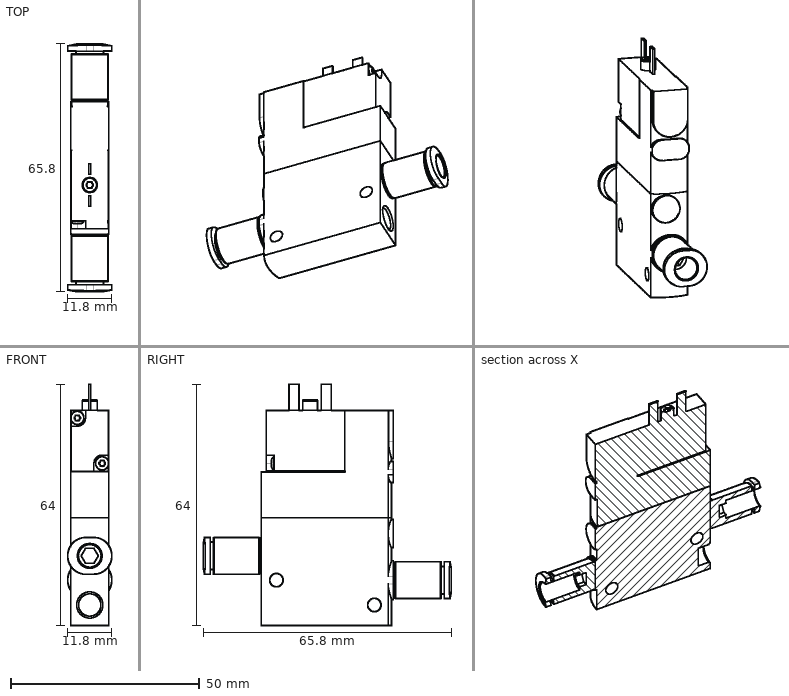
import cadquery as cq
import math

overall_length = 65.8

body_width = 10.2
body_front = -17.6
body_edge_back = 16.1
body_crown_back = 17.1
boss_face = -body_front
pad_depth = boss_face - body_edge_back
base_height = 28.55
body_height = 57.1
ledge_height = 40.8

cover_width = 9.5
cover_round_height = 48.95
override_height = 40.7
override_radius = 2.8
override_spacing = 4.75
plug_height = 24.4
plug_offset = 1.2
plug_diameter = 7.5
fitting_pad_diameter = 10.4

front_fitting_height = 18.5
rear_fitting_height = 12.05
port_height = 5.45
port_diameter = 5.9
port_mouth_diameter = 7.0
port_depth = 3.55
mount_diameter = 3.5
mount_holes = [(-13.5, rear_fitting_height), (12.5, port_height)]

solenoid_inset = 0.2
solenoid_gap = 0.2
solenoid_front = -16.2
solenoid_back = 4.7
solenoid_width = body_width - 2 * solenoid_inset
solenoid_bottom = ledge_height + solenoid_gap

screw_offset_x = 3.3
screw_edge_distance = 2.05
pocket_diameter = 4.35
pocket_depth = 2.2
screw_head_diameter = 3.5
screw_rim_height = 0.2
screw_head_height = 0.8
screw_dome_bulge = 0.1
screw_star_diameter = 1.7
star_core_ratio = 0.75
star_lobe_ratio = 0.3
star_lobes = 6
star_depth = 0.5

post_y = -4.55
post_diameter = 4.0
post_top_diameter = 3.6
post_star_diameter = 2.0
post_height = 2.8
post_chamfer_height = 0.4
blade_offset = 4.3
blade_length = 2.75
blade_thickness = 0.6
blade_height = 6.9

fitting_length = overall_length / 2 - boss_face
base_ring_diameter = 9.6
base_ring_length = 0.4
barrel_start = 0.6
barrel_diameter = 9.8
barrel_end = 12.45
end_ring_end = 12.7
neck_diameter = 7.4
flange_start = 13.4
flange_span = 11.8
flange_crown = 0.5
bore_diameter = 6.0
bore_mouth_diameter = 6.6
bore_depth = 10.5
hex_sides = 6
hex_corner_diameter = 4.55
hex_depth = 2.0


def crowned_block(bottom, top):
    """Full-width block with the crowned rear face, between two heights."""
    half = body_width / 2
    return (
        cq.Workplane("XY", origin=(0, 0, bottom))
        .moveTo(-half, body_front)
        .lineTo(half, body_front)
        .lineTo(half, body_edge_back)
        .threePointArc((0, body_crown_back), (-half, body_edge_back))
        .close()
        .extrude(top - bottom)
    )


def rear_plane(height, offset=0):
    """Sketch plane on the pad face; it extrudes forward into the block."""
    return cq.Workplane("XZ", origin=(offset, boss_face, height))


def add_pads(block, pads):
    """Join pads to the rear of a block, trimmed flush with its sides."""
    side_limit = cq.Workplane("XY").box(
        body_width, 2 * boss_face, body_height, centered=(True, True, False)
    )
    for pad in pads:
        block = block.union(pad.intersect(side_limit))
    return block


def front_port():
    """Blind port with a chamfered mouth, opening through the front face."""
    mouth_depth = (port_mouth_diameter - port_diameter) / 2
    return (
        cq.Workplane("XY", origin=(0, body_front, port_height))
        .lineTo(port_mouth_diameter / 2, 0)
        .lineTo(port_diameter / 2, mouth_depth)
        .lineTo(port_diameter / 2, port_depth)
        .lineTo(0, port_depth)
        .close()
        .revolve(360, (0, 0, 0), (0, 1, 0))
    )


def make_base_block():
    plug = rear_plane(plug_height, plug_offset).circle(plug_diameter / 2).extrude(pad_depth)
    fitting_pad = rear_plane(rear_fitting_height).circle(fitting_pad_diameter / 2).extrude(pad_depth)
    base = add_pads(crowned_block(0, base_height), [plug, fitting_pad])

    mounts = (
        cq.Workplane("YZ")
        .pushPoints(mount_holes)
        .circle(mount_diameter / 2)
        .extrude(body_width, both=True)
    )
    return base.cut(mounts).cut(front_port())


def solenoid_relief():
    """Space in front of and around the solenoid, including the slit below it."""
    length = solenoid_back - body_front
    height = body_height - ledge_height
    around = cq.Workplane("XY", origin=(0, body_front, ledge_height)).box(
        body_width, length, height, centered=(True, False, False)
    )
    solenoid = cq.Workplane("XY", origin=(0, solenoid_front, solenoid_bottom)).box(
        solenoid_width, length, height, centered=(True, False, False)
    )
    return around.cut(solenoid)


def cover_tongue():
    """Raised tongue with a full-round lower end."""
    cover_straight = body_height - cover_round_height
    half = cover_width / 2
    return (
        rear_plane(cover_round_height)
        .moveTo(-half, cover_straight)
        .lineTo(-half, 0)
        .threePointArc((0, -half), (half, 0))
        .lineTo(half, cover_straight)
        .close()
        .extrude(pad_depth)
    )


def override_pad():
    return (
        rear_plane(override_height)
        .slot2D(override_spacing + 2 * override_radius, 2 * override_radius)
        .extrude(pad_depth)
    )


def star_socket(plane, diameter):
    """Six-lobed drive socket, sunk below the given plane; diameter is over the lobes."""
    lobe_diameter = star_lobe_ratio * diameter
    lobe_circle = (diameter - lobe_diameter) / 2
    core = plane.circle(star_core_ratio * diameter / 2).extrude(-star_depth)
    lobes = (
        plane.polarArray(lobe_circle, 0, 360, star_lobes)
        .circle(lobe_diameter / 2)
        .extrude(-star_depth)
    )
    return core.union(lobes)


def corner_pocket(side, height):
    """Screw pocket open towards its corner; side is -1 at the top left, +1 at the bottom right."""
    plane = cq.Workplane("XZ", origin=(side * screw_offset_x, solenoid_front, height))
    radius = pocket_diameter / 2
    outward = side * radius
    to_edge = -side * screw_edge_distance
    diagonal = outward * math.sqrt(0.5)
    return (
        plane.moveTo(-outward, to_edge)
        .lineTo(-outward, 0)
        .threePointArc((-diagonal, diagonal), (0, outward))
        .lineTo(outward, outward)
        .lineTo(outward, to_edge)
        .close()
        .extrude(-pocket_depth)
    )


def corner_screw(side, height):
    """Button-head screw standing on its pocket floor."""
    radius = screw_head_diameter / 2
    top_radius = screw_star_diameter / 2
    dome_radius = (radius + top_radius) / 2
    dome_height = (screw_rim_height + screw_head_height) / 2 + screw_dome_bulge
    head = (
        cq.Workplane("XY", origin=(side * screw_offset_x, solenoid_front + pocket_depth, height))
        .lineTo(radius, 0)
        .lineTo(radius, -screw_rim_height)
        .threePointArc((dome_radius, -dome_height), (top_radius, -screw_head_height))
        .lineTo(0, -screw_head_height)
        .close()
        .revolve(360, (0, 0, 0), (0, 1, 0))
    )
    head_face = solenoid_front + pocket_depth - screw_head_height
    head_plane = cq.Workplane("XZ", origin=(side * screw_offset_x, head_face, height))
    return head.cut(star_socket(head_plane, screw_star_diameter))


def terminal_post():
    radius = post_diameter / 2
    top_radius = post_top_diameter / 2
    post = (
        cq.Workplane("XZ", origin=(0, post_y, body_height))
        .lineTo(radius, 0)
        .lineTo(radius, post_height - post_chamfer_height)
        .lineTo(top_radius, post_height)
        .lineTo(0, post_height)
        .close()
        .revolve(360, (0, 0, 0), (0, 1, 0))
    )
    post_plane = cq.Workplane("XY", origin=(0, post_y, body_height + post_height))
    return post.cut(star_socket(post_plane, post_star_diameter))


def contact_blades():
    return (
        cq.Workplane("XY", origin=(0, post_y, body_height))
        .pushPoints([(0, -blade_offset), (0, blade_offset)])
        .rect(blade_thickness, blade_length)
        .extrude(blade_height)
    )


def make_upper_block():
    upper = crowned_block(base_height, body_height).cut(solenoid_relief())
    upper = add_pads(upper, [cover_tongue(), override_pad()])
    screws = [
        (-1, body_height - screw_edge_distance),
        (1, solenoid_bottom + screw_edge_distance),
    ]
    for side, height in screws:
        upper = upper.cut(corner_pocket(side, height))
        upper = upper.union(corner_screw(side, height))
    return upper.union(terminal_post()).union(contact_blades())


def make_fitting():
    """Fitting along +Y with its seating face at the origin."""
    tip_fall_length = fitting_length - flange_crown
    flange_reach = flange_span / 2
    bore_radius = bore_diameter / 2

    barrel = (
        cq.Workplane("XY")
        .lineTo(base_ring_diameter / 2, 0)
        .lineTo(base_ring_diameter / 2, base_ring_length)
        .lineTo(barrel_diameter / 2, barrel_start)
        .lineTo(barrel_diameter / 2, barrel_end)
        .lineTo(base_ring_diameter / 2, end_ring_end)
        .lineTo(neck_diameter / 2, end_ring_end)
        .lineTo(neck_diameter / 2, flange_start)
        .lineTo(0, flange_start)
        .close()
        .revolve(360, (0, 0, 0), (0, 1, 0))
    )

    flange = (
        cq.Workplane("XZ", origin=(0, flange_start, 0))
        .slot2D(flange_span, barrel_diameter)
        .extrude(flange_start - fitting_length)
    )
    cone_limit = (
        cq.Workplane("XY")
        .lineTo(flange_reach, 0)
        .lineTo(flange_reach, tip_fall_length)
        .lineTo(bore_mouth_diameter / 2, fitting_length)
        .lineTo(0, fitting_length)
        .close()
        .revolve(360, (0, 0, 0), (0, 1, 0))
    )
    flange = flange.intersect(cone_limit)

    bore_floor = fitting_length - bore_depth
    mouth_depth = (bore_mouth_diameter - bore_diameter) / 2
    bore = (
        cq.Workplane("XY", origin=(0, bore_floor, 0))
        .lineTo(bore_radius, 0)
        .lineTo(bore_radius, bore_depth - mouth_depth)
        .lineTo(bore_mouth_diameter / 2, bore_depth)
        .lineTo(0, bore_depth)
        .close()
        .revolve(360, (0, 0, 0), (0, 1, 0))
    )
    hexagon = (
        cq.Workplane("XZ", origin=(0, bore_floor, 0))
        .polygon(hex_sides, hex_corner_diameter)
        .extrude(hex_depth)
    )
    return barrel.union(flange).cut(bore).cut(hexagon)


base_block = make_base_block()
upper_block = make_upper_block()

fittings = []
for turn, seat_y, height in [
    (180, body_front, front_fitting_height),
    (0, boss_face, rear_fitting_height),
]:
    fitting = make_fitting().rotate((0, 0, 0), (0, 0, 1), turn)
    fittings.append(fitting.translate((0, seat_y, height)).val())

result = cq.Compound.makeCompound([base_block.val(), upper_block.val(), *fittings])